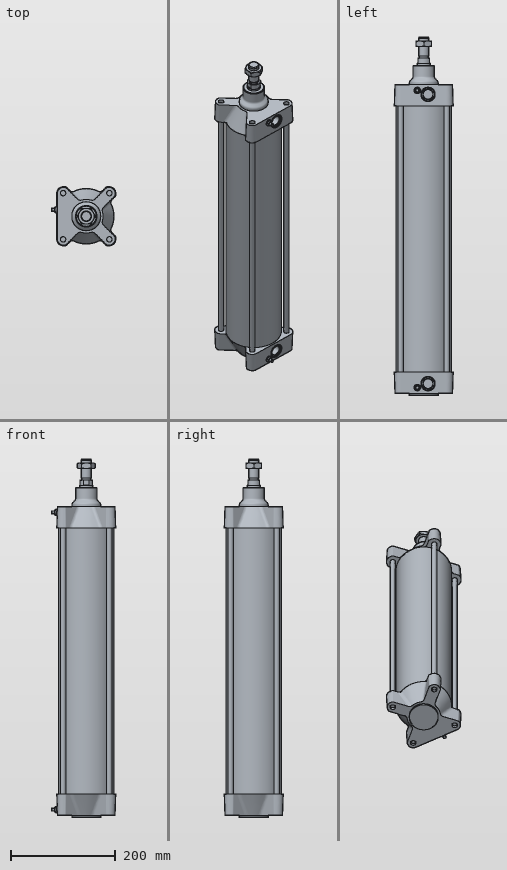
import cadquery as cq
import math

total_height = 683.0
total_width = 122.0
spigot_height = 4.0
cap_thickness = 40.0
lower_cap_inner_z = spigot_height + cap_thickness
upper_cap_outer_z = 592.0
upper_cap_inner_z = upper_cap_outer_z - cap_thickness

cap_side = 113.0
cap_half = cap_side / 2
cap_corner_radius = 12.0
cap_draft = 1.5
cap_draft_angle = math.degrees(math.atan2(cap_draft, cap_thickness))
notch_apex = 18.0
mid_notch_apex = notch_apex - cap_draft / 2 * math.sqrt(2)
core_outer_radius = 32.0
core_fillet = 7.0
arm_fillet = 3.5

barrel_diameter = 106.0
tie_rod_diameter = 10.0
tie_rod_offset = cap_half - cap_corner_radius
tie_rod_hole_depth = 7.0

port_y = -8.0
port_from_outer = 18.5
port_rim_diameter = 27.0
port_rim_depth = 1.0
port_seat_diameter = 24.5
port_seat_depth = 1.5
port_mouth_diameter = 20.0
port_bore_diameter = 18.5
port_depth = 20.5
screw_y = 12.0
screw_from_outer = 11.0
screw_base_diameter = 12.0
screw_base_x = 58.0
screw_shoulder_diameter = 9.0
screw_shoulder_x = 60.0
screw_tip_diameter = 6.0
screw_tip_x = total_width - cap_half
screw_root_x = 51.0

collar_diameter = 55.0
collar_radius = collar_diameter / 2
gland_diameter = 41.0
gland_radius = gland_diameter / 2
gland_top_z = 629.0
gland_chamfer = 1.5
collar_edge_z = 595.5
flare_radius = 5.8

rod_diameter = 25.0
rod_shoulder_z = 632.5
flats_diameter = 24.5
flats_across = 22.5
flats_bottom_z = 634.0
flats_top_z = 643.0
neck_diameter = 18.0
thread_bottom_z = 647.0
thread_diameter = 20.0
thread_chamfer_height = 3.0

nut_across_flats = 30.0
nut_bottom_z = 664.5
nut_top_z = 675.5
nut_chamfer_height = 2.0


def cylinder(diameter, bottom_z, top_z, x=0, y=0):
    """Upright cylinder between two heights."""
    base = cq.Workplane("XY", origin=(x, y, bottom_z))
    return base.circle(diameter / 2).extrude(top_z - bottom_z)


def side_cylinder(diameter, outer_x, inner_x, y, z):
    """Cylinder along X, reaching from -outer_x to -inner_x."""
    base = cq.Workplane("YZ", origin=(-outer_x, y, z))
    return base.circle(diameter / 2).extrude(outer_x - inner_x)


def notch(angle):
    """90 degree V-shaped cutter, widening with the draft, that opens outward at the given angle."""
    reach = cap_side
    prism = (
        cq.Workplane("XY")
        .polyline([(notch_apex, 0), (notch_apex + reach, reach), (notch_apex + reach, -reach)])
        .close()
        .extrude(cap_thickness, taper=-cap_draft_angle)
    )
    return prism.rotate((0, 0, 0), (0, 0, 1), angle)


def cap_block():
    """Drafted square with rounded corners, notched on three sides around a conical core."""
    outline = cq.Sketch().rect(cap_side, cap_side).vertices().fillet(cap_corner_radius)
    block = cq.Workplane("XY").placeSketch(outline).extrude(cap_thickness, taper=cap_draft_angle)
    for angle in (-90, 0, 90):
        block = block.cut(notch(angle))
    core = (
        cq.Workplane("XZ")
        .polyline([
            (0, 0),
            (barrel_diameter / 2, 0),
            (core_outer_radius, cap_thickness),
            (0, cap_thickness),
        ])
        .close()
        .revolve(360, (0, 0), (0, 1))
    )
    return block.union(core)


def mirrored_corners(near, far):
    """The six corners that the three notches make, each mirrored from one near and far pair."""
    return [(far, near), (far, -near), (near, far), (-near, far), (near, -far), (-near, -far)]


def fillet_upright_edges(block, corners, radius):
    """Fillet the sloping edge that passes each corner halfway up the cap."""
    for x, y in corners:
        edge_picker = cq.selectors.NearestToPointSelector((x, y, cap_thickness / 2))
        block = block.edges(edge_picker).fillet(radius)
    return block


def round_arms(block):
    """Round the corners between the notch walls and the drafted outer sides."""
    far = cap_half - cap_draft / 2
    near = far - mid_notch_apex
    return fillet_upright_edges(block, mirrored_corners(near, far), arm_fillet)


def fillet_core(block):
    """Round the inside edges where the notch walls run into the conical core."""
    mid_radius = (barrel_diameter / 2 + core_outer_radius) / 2
    wall_offset = mid_notch_apex / math.sqrt(2)
    along = math.sqrt(mid_radius**2 - wall_offset**2)
    near = (along - wall_offset) / math.sqrt(2)
    far = (along + wall_offset) / math.sqrt(2)
    return fillet_upright_edges(block, mirrored_corners(near, far), core_fillet)


def side_cone(outer_diameter, inner_diameter, outer_x, inner_x, y, z):
    """Cone along X, reaching from -outer_x to -inner_x."""
    base = cq.Workplane("YZ", origin=(-outer_x, y, z)).circle(outer_diameter / 2)
    return base.workplane(offset=outer_x - inner_x).circle(inner_diameter / 2).loft()


def add_port(cap):
    """Blind bore in the -X side with a chamfered mouth inside two shallow round steps."""
    z = cap_thickness - port_from_outer
    face_x = cap_half
    rim_floor_x = cap_half - cap_draft - port_rim_depth
    seat_floor_x = cap_half - cap_draft - port_seat_depth
    mouth_floor_x = seat_floor_x - (port_mouth_diameter - port_bore_diameter) / 2
    rim = side_cylinder(port_rim_diameter, face_x, rim_floor_x, port_y, z)
    seat = side_cylinder(port_seat_diameter, face_x, seat_floor_x, port_y, z)
    mouth = side_cone(port_mouth_diameter, port_bore_diameter, seat_floor_x, mouth_floor_x, port_y, z)
    bore = side_cylinder(port_bore_diameter, face_x, face_x - port_depth, port_y, z)
    return cap.cut(rim).cut(seat).cut(mouth).cut(bore)


def add_screw(cap):
    """Cushion screw that stands out of the -X side: round base, conical shoulder and thin tip."""
    z = cap_thickness - screw_from_outer
    base = side_cylinder(screw_base_diameter, screw_base_x, screw_root_x, screw_y, z)
    shoulder = side_cone(
        screw_shoulder_diameter, screw_base_diameter, screw_shoulder_x, screw_base_x, screw_y, z
    )
    tip = side_cylinder(screw_tip_diameter, screw_tip_x, screw_root_x, screw_y, z)
    return cap.union(base.union(shoulder).union(tip))


def tie_rod_places():
    """The four corners, each on the centre of a rounded cap corner."""
    offsets = (-tie_rod_offset, tie_rod_offset)
    return [(x, y) for x in offsets for y in offsets]


def make_cap():
    """End cap with its barrel-side face at z = 0 and its outer face at z = cap_thickness."""
    cap = add_screw(add_port(fillet_core(round_arms(cap_block()))))
    for x, y in tie_rod_places():
        cap = cap.cut(cylinder(tie_rod_diameter, cap_thickness - tie_rod_hole_depth, cap_thickness, x, y))
    return cap


def make_gland():
    """Turned nose: a collar that flares smoothly into a narrower sleeve."""
    turn = math.radians(45)
    arc_r = flare_radius * (1 - math.cos(turn))
    arc_z = flare_radius * math.sin(turn)
    mid_r = flare_radius * (1 - math.cos(turn / 2))
    mid_z = flare_radius * math.sin(turn / 2)
    slope = collar_radius - gland_radius - 2 * arc_r
    flare_top_z = collar_edge_z + 2 * arc_z + slope
    return (
        cq.Workplane("XZ")
        .moveTo(0, upper_cap_outer_z)
        .lineTo(collar_radius, upper_cap_outer_z)
        .lineTo(collar_radius, collar_edge_z)
        .threePointArc(
            (collar_radius - mid_r, collar_edge_z + mid_z),
            (collar_radius - arc_r, collar_edge_z + arc_z),
        )
        .lineTo(gland_radius + arc_r, flare_top_z - arc_z)
        .threePointArc((gland_radius + mid_r, flare_top_z - mid_z), (gland_radius, flare_top_z))
        .lineTo(gland_radius, gland_top_z - gland_chamfer)
        .lineTo(gland_radius - gland_chamfer, gland_top_z)
        .lineTo(0, gland_top_z)
        .close()
        .revolve(360, (0, 0), (0, 1))
    )


def make_housing():
    """Barrel, both caps, tie rods, gland and rear spigot, bored for the piston rod."""
    cap = make_cap()
    upper_cap = cap.translate((0, 0, upper_cap_inner_z))
    lower_cap = cap.mirror("XY").translate((0, 0, lower_cap_inner_z))
    housing = cylinder(barrel_diameter, lower_cap_inner_z, upper_cap_inner_z)
    housing = housing.union(upper_cap).union(lower_cap)
    for x, y in tie_rod_places():
        housing = housing.union(cylinder(tie_rod_diameter, lower_cap_inner_z, upper_cap_inner_z, x, y))
    housing = housing.union(make_gland())
    housing = housing.union(cylinder(collar_diameter, 0, spigot_height))
    return housing.cut(cylinder(rod_diameter, upper_cap_inner_z, gland_top_z))


def make_rod():
    """Piston rod with wrench flats, an undercut neck and a threaded end."""
    rod = cylinder(rod_diameter, upper_cap_inner_z, rod_shoulder_z)
    rod = rod.union(cylinder(flats_diameter, rod_shoulder_z, flats_bottom_z))
    flats_height = flats_top_z - flats_bottom_z
    slab = cq.Workplane("XY", origin=(0, 0, flats_bottom_z)).rect(flats_diameter, flats_across)
    flats = cylinder(flats_diameter, flats_bottom_z, flats_top_z).intersect(slab.extrude(flats_height))
    rod = rod.union(flats)
    rod = rod.union(cylinder(neck_diameter, flats_top_z, thread_bottom_z))
    thread = cylinder(thread_diameter, thread_bottom_z, total_height)
    chamfer_width = (thread_diameter - neck_diameter) / 2
    thread = thread.faces(">Z").edges().chamfer(thread_chamfer_height, chamfer_width)
    return rod.union(thread)


def make_nut():
    """Hexagon nut, corners along X, chamfered at both ends."""
    height = nut_top_z - nut_bottom_z
    across_corners = nut_across_flats / math.cos(math.radians(30))
    chamfer_width = (across_corners - nut_across_flats) / 2
    hexagon = cq.Workplane("XY", origin=(0, 0, nut_bottom_z)).polygon(6, across_corners).extrude(height)
    envelope = cylinder(across_corners, nut_bottom_z, nut_top_z)
    envelope = envelope.faces("<Z or >Z").edges().chamfer(nut_chamfer_height, chamfer_width)
    return hexagon.intersect(envelope).cut(cylinder(thread_diameter, nut_bottom_z, nut_top_z))


housing = make_housing()
piston_rod = make_rod()
rod_nut = make_nut()

result = cq.Compound.makeCompound([housing.val(), piston_rod.val(), rod_nut.val()])